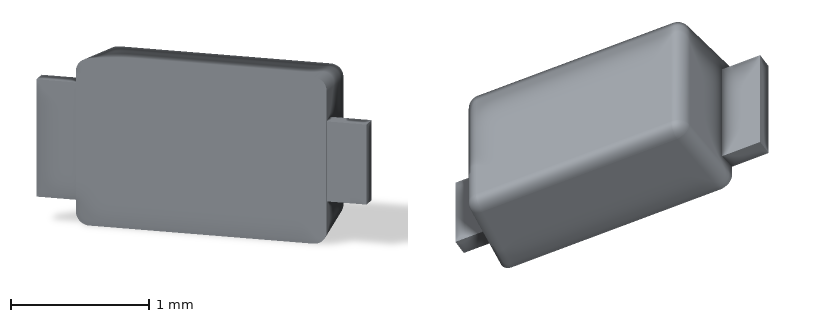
import cadquery as cq

body_length = 1.9
body_height = 1.25
body_depth = 0.655
draft_angle = 5.0
edge_radius = 0.1

overall_length = 2.5
lead_thickness = 0.13
lead_setback = 0.001
wide_lead_length = 1.4
wide_lead_height = 0.88
narrow_lead_length = 0.5
narrow_lead_height = 0.6


def make_lead(length, height, side):
    """Flat lead running inward from the outer end; side is -1 for -X, +1 for +X."""
    center_x = side * (overall_length - length) / 2
    center_y = lead_setback + lead_thickness / 2
    return (
        cq.Workplane("XY")
        .box(length, lead_thickness, height)
        .translate((center_x, center_y, 0))
    )


def make_body(leads):
    """Drafted block with rounded side and back edges, hollowed to fit the leads."""
    body = (
        cq.Workplane("XZ")
        .rect(body_length, body_height)
        .extrude(-body_depth, taper=draft_angle)
        .edges("not <Y")
        .fillet(edge_radius)
    )
    for lead in leads:
        body = body.cut(lead)
    return body.solids()


wide_lead = make_lead(wide_lead_length, wide_lead_height, side=-1)
narrow_lead = make_lead(narrow_lead_length, narrow_lead_height, side=1)
body = make_body([wide_lead, narrow_lead])

result = cq.Compound.makeCompound([body.val(), wide_lead.val(), narrow_lead.val()])